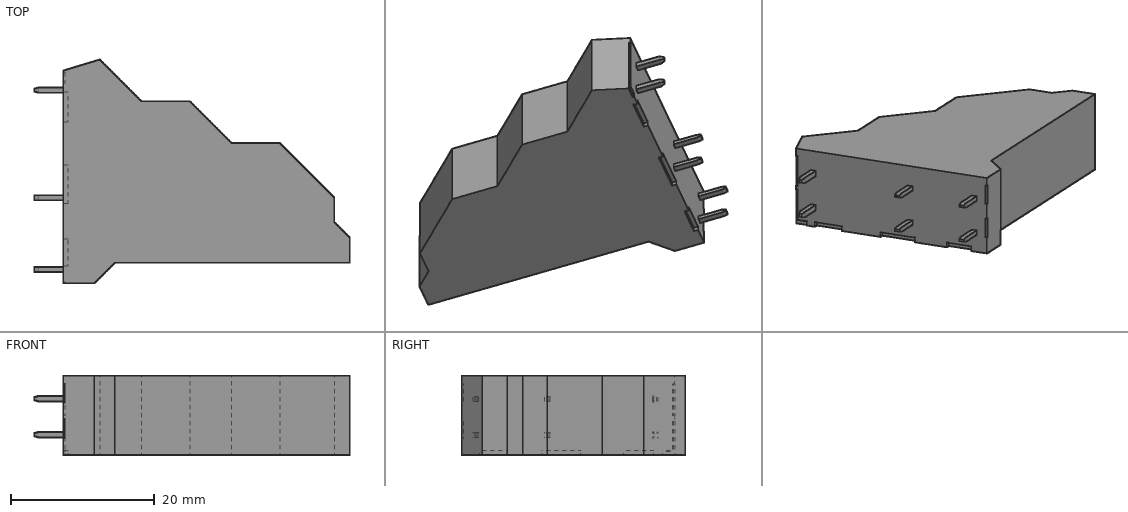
import cadquery as cq
import math

length = 44.0
width = 31.2
thickness = 11.1

mount_x = 4.05
mount_top_y = 29.65
peak_x = 9.15
step_drop = 5.8
step_pitch = 12.55
nose_x = 41.85
nose_bottom_y = 8.55
foot_end_x = 8.4
foot_height = 2.85

pin_width = 0.75
low_pin_height = 0.65
high_pin_height = 0.8
pin_tip_length = 0.55
pin_tip_taper = 0.18
pin_pitch_z = 5.0
pin_low_z = 2.85
pin_low_y = 1.95
pin_y_gaps = (10.0, 15.0)
pin_root = 0.9

bottom_notch_depth = 0.6
bottom_notch_height = 0.7
bottom_notch_spans = ((2.45, 6.2), (11.18, 16.55), (22.55, 26.7))
side_notch_depth = 0.2
high_wall_run = 0.15
low_notch_width = 0.25
high_notch_width = 0.3
low_side_spans = ((2.38, 5.1), (7.3, 9.95))
high_side_spans = ((0, 5.1), (5.6, 10.0))
corner_notch_y = 28.0
corner_notch_height = 0.65


def box_between(x_span, y_span, z_span):
    """Axis-aligned box filling the three given spans."""
    sizes = [span[1] - span[0] for span in (x_span, y_span, z_span)]
    return cq.Workplane("XY").box(*sizes, centered=False).translate((x_span[0], y_span[0], z_span[0]))


def make_body():
    """Stair-shaped plate with straight walls."""
    first_step_y = width - step_drop
    second_step_y = first_step_y - step_drop
    first_step_x = peak_x + step_drop
    second_step_x = first_step_x + step_pitch
    first_step_end_x = second_step_x - step_drop
    second_step_end_x = first_step_end_x + step_pitch
    nose_top_y = second_step_y - (nose_x - second_step_end_x)
    tip_y = nose_bottom_y - (length - nose_x)
    outline = [
        (mount_x, 0),
        (foot_end_x, 0),
        (foot_end_x + foot_height, foot_height),
        (length, foot_height),
        (length, tip_y),
        (nose_x, nose_bottom_y),
        (nose_x, nose_top_y),
        (second_step_end_x, second_step_y),
        (second_step_x, second_step_y),
        (first_step_end_x, first_step_y),
        (first_step_x, first_step_y),
        (peak_x, width),
        (mount_x, mount_top_y),
    ]
    return cq.Workplane("XY").polyline(outline).close().extrude(thickness)


def leaning_notch_profile(plane, rim, outer):
    """Section of a side notch whose wall starts at rim on the face and leans toward outer."""
    lean = math.copysign(high_wall_run, outer - rim)
    floor_x = mount_x + side_notch_depth
    return cq.Workplane(plane).polyline([
        (mount_x, rim),
        (floor_x, rim + lean),
        (floor_x, outer),
        (mount_x, outer),
    ]).close()


def high_side_notch(z_span):
    """Notch along the upper end of the mounting face."""
    profile = leaning_notch_profile("XY", mount_top_y - high_notch_width, width)
    return profile.extrude(z_span[1] - z_span[0]).translate((0, 0, z_span[0]))


def corner_notch():
    """Notch along the bottom edge that meets the upper side notch at the corner."""
    profile = leaning_notch_profile("XZ", corner_notch_height, 0)
    return profile.extrude(corner_notch_y - width).translate((0, corner_notch_y, 0))


def cut_notches(body):
    """Cut the shallow rim notches into the mounting face."""
    bottom_x = (mount_x, mount_x + bottom_notch_depth)
    side_x = (mount_x, mount_x + side_notch_depth)
    for y_span in bottom_notch_spans:
        body = body.cut(box_between(bottom_x, y_span, (0, bottom_notch_height)))
    for z_span in low_side_spans:
        body = body.cut(box_between(side_x, (0, low_notch_width), z_span))
    for z_span in high_side_spans:
        body = body.cut(high_side_notch(z_span))
    return body.cut(corner_notch())


def make_pin(y, z, height, tip_width):
    """Rectangular pin along x, tapered in height and down to tip_width at x = 0."""
    tip = (
        cq.Workplane("YZ").rect(tip_width, height - 2 * pin_tip_taper)
        .workplane(offset=pin_tip_length).rect(pin_width, height)
        .loft(ruled=True)
    )
    shank_length = mount_x + pin_root - pin_tip_length
    shank = cq.Workplane("YZ").workplane(offset=pin_tip_length).rect(pin_width, height).extrude(shank_length)
    return tip.union(shank).translate((0, y, z))


pin_middle_y = pin_low_y + pin_y_gaps[0]
pin_high_y = pin_middle_y + pin_y_gaps[1]
pin_rows = (
    (pin_low_y, low_pin_height, pin_width),
    (pin_middle_y, low_pin_height, pin_width),
    (pin_high_y, high_pin_height, pin_width - 2 * pin_tip_taper),
)

result = cut_notches(make_body())
for row_y, row_height, row_tip_width in pin_rows:
    for pin_z in (pin_low_z, pin_low_z + pin_pitch_z):
        result = result.union(make_pin(row_y, pin_z, row_height, row_tip_width))